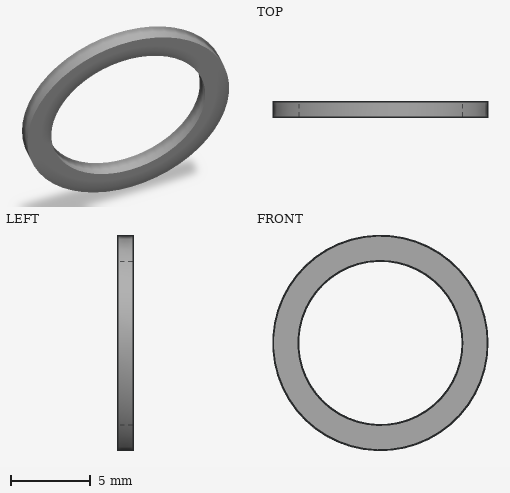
import cadquery as cq

outer_diameter = 13.5
inner_diameter = 10.3
thickness = 1.0

result = (
    cq.Workplane("XZ")
    .circle(outer_diameter / 2)
    .circle(inner_diameter / 2)
    .extrude(thickness)
)